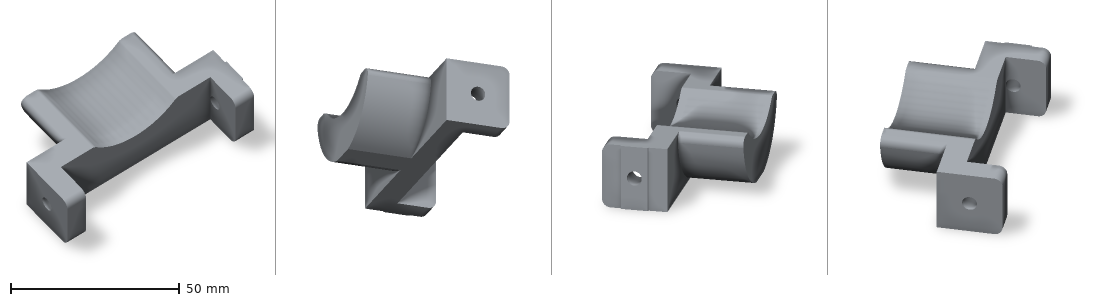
import cadquery as cq
import math

height = 20.0
cradle_length = 20.0
plate_thickness = 7.7
body_width = 70.0
overall_length = 40.0
ear_thickness = 7.0
ear_corner_radius = 2.55

outer_radius = 22.1
outer_center_z = 21.6
rim_radius = 2.4
groove_radius = 21.6
groove_bottom_z = 13.55
groove_edge_radius = 2.5

hole_diameter = 4.5

pad_height = 0.5
pad_base_width = 8.45
pad_top_width = 8.05

half_width = body_width / 2
plate_back_x = cradle_length + plate_thickness
ear_center_x = (cradle_length + overall_length) / 2


def box(x_min, x_max, y_min, y_max):
    """Full-height block between the given X and Y limits."""
    size = (x_max - x_min, y_max - y_min, height)
    return cq.Workplane("XY").box(*size, centered=False).translate((x_min, y_min, 0))


def x_cylinder(radius, center_y, center_z, length):
    """Cylinder along +X starting at X = 0."""
    return cq.Workplane("YZ").center(center_y, center_z).circle(radius).extrude(length)


def make_cradle():
    """Half-round bar with a flattened bottom and rounded upper rims."""
    block = box(0, cradle_length, -half_width, half_width)
    bar = x_cylinder(outer_radius, 0, outer_center_z, cradle_length).intersect(block)
    return bar.edges("|X and >Z").fillet(rim_radius)


def make_bracket():
    """Upright plate with an ear at each end, its free corners rounded."""
    bracket = box(cradle_length, overall_length, -half_width, half_width)
    bracket = bracket.edges("|Y and >X").fillet(ear_corner_radius)
    inner_half_width = half_width - ear_thickness
    return bracket.cut(box(plate_back_x, overall_length, -inner_half_width, inner_half_width))


def make_pad():
    """Full-height trapezoidal strip, centred on the hole axis."""
    base_y = half_width
    top_y = half_width + pad_height
    return (
        cq.Workplane("XY")
        .polyline([
            (ear_center_x - pad_base_width / 2, base_y),
            (ear_center_x + pad_base_width / 2, base_y),
            (ear_center_x + pad_top_width / 2, top_y),
            (ear_center_x - pad_top_width / 2, top_y),
        ])
        .close()
        .extrude(height)
    )


def make_groove():
    """Circular groove whose upper edges blend tangentially into the flat top."""
    center_z = groove_bottom_z + groove_radius
    edge_z = height - groove_edge_radius
    center_distance = groove_radius + groove_edge_radius
    rise = center_z - edge_z
    edge_y = math.sqrt(center_distance**2 - rise**2)
    tangent_y = edge_y * groove_radius / center_distance
    tangent_z = center_z - rise * groove_radius / center_distance
    middle_angle = math.atan2(edge_y, rise) / 2
    middle_y = edge_y - groove_edge_radius * math.sin(middle_angle)
    middle_z = edge_z + groove_edge_radius * math.cos(middle_angle)
    return (
        cq.Workplane("YZ")
        .moveTo(-edge_y, height)
        .threePointArc((-middle_y, middle_z), (-tangent_y, tangent_z))
        .threePointArc((0, groove_bottom_z), (tangent_y, tangent_z))
        .threePointArc((middle_y, middle_z), (edge_y, height))
        .close()
        .extrude(plate_back_x)
    )


def make_hole():
    """Hole along Y through both ears and the pad."""
    return (
        cq.Workplane("XZ")
        .center(ear_center_x, height / 2)
        .circle(hole_diameter / 2)
        .extrude(body_width, both=True)
    )


body = make_bracket().union(make_cradle()).union(make_pad())
result = body.cut(make_groove()).cut(make_hole())